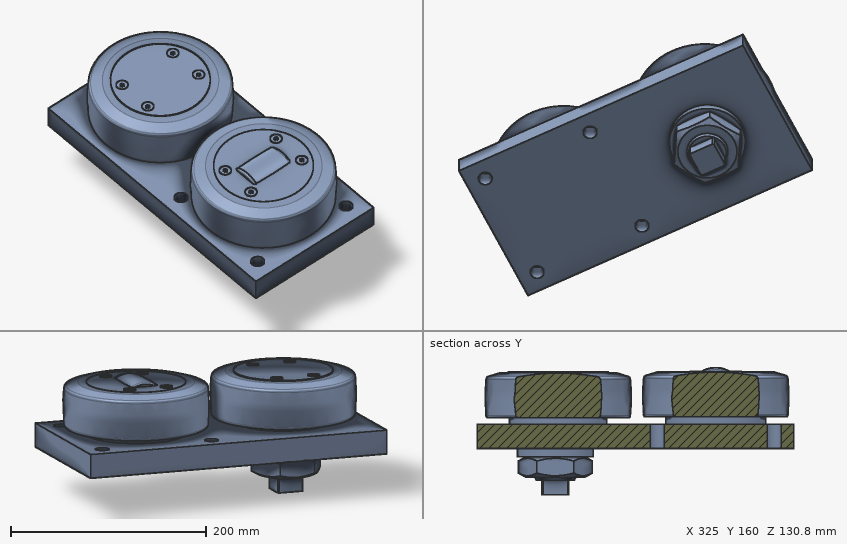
import cadquery as cq
import math

FULL_TURN = 360

PLATE_LENGTH = 325.0
PLATE_WIDTH = 160.0
PLATE_THICKNESS = 25.0

ROLLER_LEFT_X = -79.3
ROLLER_RIGHT_X = 82.2
ROLLER_HEIGHT = 46.0
ROLLER_CROWN_RADIUS = 75.0
ROLLER_EDGE_RADIUS = 74.0
ROLLER_TOP_CORNER_RADIUS = 71.8
ROLLER_BOTTOM_FACE_RADIUS = 71.8
ROLLER_TOP_FACE_RADIUS = 59.8
CORNER_HEIGHT = 3.0
CONE_HEIGHT = 3.5
LEFT_ROLLER_BOTTOM = 6.5
RIGHT_ROLLER_BOTTOM = 7.5
LEFT_NECK_DIAMETER = 100.0
RIGHT_NECK_DIAMETER = 103.0

COVER_DIAMETER = 102.5
LEFT_COVER_RISE = 1.0
RIGHT_COVER_RISE = 0.15
SCREW_HEAD_DIAMETER = 12.5
SCREW_SEAT_DEPTH = 2.5
LEFT_SCREW_HEAD_HEIGHT = 2.3
RIGHT_SCREW_HEAD_HEIGHT = 3.2
SCREW_SPACING_X = 40.3
SCREW_SPACING_Y = 69.0
SOCKET_ACROSS_FLATS = 4.0
SOCKET_DEPTH = 2.0
LEFT_SOCKET_TURN = 30
RIGHT_SOCKET_TURN = 0

PAD_WIDTH = 30.5
PAD_LENGTH = 50.5
PAD_TOP = 58.2
PAD_CROWN_DROP = 0.3
PAD_END_ROUND_LENGTH = 3.0
PAD_END_ROUND_HEIGHT = 1.5

HOLE_DIAMETER = 14.0
HOLE_SPACING = 120.0

SHAFT_X = -82.2
COLLAR_DIAMETER = 78.0
COLLAR_HEIGHT = 8.5
NUT_ACROSS_FLATS = 65.5
NUT_HEIGHT = 20.8
NUT_EDGE_DROP = 4.2
NUT_FACE_RADIUS = 30.2
SHAFT_CONE_HEIGHT = 3.2
SHAFT_CONE_TOP_DIAMETER = 42.0
SHAFT_CONE_END_DIAMETER = 38.7
SQUARE_SIZE = 27.5
SQUARE_CHAMFER = 1.3
SHAFT_END = -72.5


def disc(x, bottom, diameter, height):
    return cq.Workplane("XY", origin=(x, 0, bottom)).circle(diameter / 2).extrude(height)


def revolve_upright(profile):
    """Full turn of an XZ profile about the vertical line through its workplane origin."""
    return profile.revolve(FULL_TURN, (0, 0, 0), (0, 1, 0))


def hexagon_corner_size(across_flats):
    return across_flats / math.cos(math.pi / 6)


def hexagon(workplane, across_flats, depth, turn=0):
    """Hexagonal prism with a corner on the X axis, then turned by an angle in degrees."""
    across_corners = hexagon_corner_size(across_flats)
    workplane = workplane.transformed(rotate=(0, 0, turn))
    return workplane.polygon(6, across_corners).extrude(depth)


def make_plate():
    plate = cq.Workplane("XY").rect(PLATE_LENGTH, PLATE_WIDTH).extrude(-PLATE_THICKNESS)
    holes = (
        cq.Workplane("XY", origin=(ROLLER_RIGHT_X, 0, -PLATE_THICKNESS))
        .rect(HOLE_SPACING, HOLE_SPACING, forConstruction=True)
        .vertices()
        .circle(HOLE_DIAMETER / 2)
        .extrude(PLATE_THICKNESS)
    )
    return plate.cut(holes)


def make_roller(x, bottom):
    """Revolved tyre with a crowned running face, rounded corners and a conical shoulder."""
    top = bottom + ROLLER_HEIGHT
    cone_start = top - CONE_HEIGHT
    edge_top = cone_start - CORNER_HEIGHT
    edge_bottom = bottom + CORNER_HEIGHT
    profile = (
        cq.Workplane("XZ", origin=(x, 0, 0))
        .moveTo(0, bottom)
        .lineTo(ROLLER_BOTTOM_FACE_RADIUS, bottom)
        .tangentArcPoint((ROLLER_EDGE_RADIUS, edge_bottom), relative=False)
        .threePointArc(
            (ROLLER_CROWN_RADIUS, (edge_bottom + edge_top) / 2),
            (ROLLER_EDGE_RADIUS, edge_top),
        )
        .tangentArcPoint((ROLLER_TOP_CORNER_RADIUS, cone_start), relative=False)
        .lineTo(ROLLER_TOP_FACE_RADIUS, top)
        .lineTo(0, top)
        .close()
    )
    return revolve_upright(profile)


def add_screws(unit, x, cover_top, head_height, socket_turn):
    """Cut four round seats into the cover and fill each with a hexagon-socket screw head."""
    seat = cover_top - SCREW_SEAT_DEPTH
    pattern = [
        (x + side_x * SCREW_SPACING_X / 2, side_y * SCREW_SPACING_Y / 2)
        for side_x in (-1, 1)
        for side_y in (-1, 1)
    ]
    for screw_x, screw_y in pattern:
        seat_plane = cq.Workplane("XY", origin=(screw_x, screw_y, seat))
        pocket = seat_plane.circle(SCREW_HEAD_DIAMETER / 2).extrude(SCREW_SEAT_DEPTH)
        head = seat_plane.circle(SCREW_HEAD_DIAMETER / 2).extrude(head_height)
        socket_plane = seat_plane.workplane(offset=head_height)
        socket = hexagon(socket_plane, SOCKET_ACROSS_FLATS, -SOCKET_DEPTH, socket_turn)
        unit = unit.cut(pocket).union(head).cut(socket)
    return unit


def make_roller_unit(x, bottom, neck_diameter, cover_rise, head_height, socket_turn):
    """Roller with its neck below, its cover plate on top and the cover screws."""
    roller_top = bottom + ROLLER_HEIGHT
    unit = make_roller(x, bottom)
    unit = unit.union(disc(x, 0, neck_diameter, bottom))
    unit = unit.union(disc(x, roller_top, COVER_DIAMETER, cover_rise))
    return add_screws(unit, x, roller_top + cover_rise, head_height, socket_turn)


def make_pad():
    """Crowned roller lying along Y, sunk into the roller unit so that only its back stands out."""
    base = RIGHT_ROLLER_BOTTOM + ROLLER_HEIGHT
    rise = PAD_TOP - base
    half_width = PAD_WIDTH / 2
    half_length = PAD_LENGTH / 2
    radius = (half_width ** 2 + rise ** 2) / (2 * rise)
    crown_end_radius = radius - PAD_CROWN_DROP
    end_face_radius = crown_end_radius - PAD_END_ROUND_HEIGHT
    crown_end = half_length - PAD_END_ROUND_LENGTH
    return (
        cq.Workplane("YZ", origin=(ROLLER_RIGHT_X, 0, PAD_TOP - radius))
        .moveTo(-half_length, 0)
        .lineTo(-half_length, end_face_radius)
        .tangentArcPoint((-crown_end, crown_end_radius), relative=False)
        .threePointArc((0, radius), (crown_end, crown_end_radius))
        .tangentArcPoint((half_length, end_face_radius), relative=False)
        .lineTo(half_length, 0)
        .close()
        .revolve(FULL_TURN, (0, 0, 0), (1, 0, 0))
    )


def make_nut():
    """Hexagon nut whose corners are turned off conically at both faces."""
    top = -PLATE_THICKNESS - COLLAR_HEIGHT
    bottom = top - NUT_HEIGHT
    corner_radius = hexagon_corner_size(NUT_ACROSS_FLATS) / 2
    blank = hexagon(cq.Workplane("XY", origin=(SHAFT_X, 0, top)), NUT_ACROSS_FLATS, -NUT_HEIGHT)
    turning = (
        cq.Workplane("XZ", origin=(SHAFT_X, 0, 0))
        .moveTo(0, top)
        .lineTo(NUT_FACE_RADIUS, top)
        .lineTo(corner_radius, top - NUT_EDGE_DROP)
        .lineTo(corner_radius, bottom + NUT_EDGE_DROP)
        .lineTo(NUT_FACE_RADIUS, bottom)
        .lineTo(0, bottom)
        .close()
    )
    return blank.intersect(revolve_upright(turning))


def make_shaft_end():
    """Collar, nut, conical shaft tip and drive square, all on the eccentric shaft axis."""
    nut_bottom = -PLATE_THICKNESS - COLLAR_HEIGHT - NUT_HEIGHT
    cone_end = nut_bottom - SHAFT_CONE_HEIGHT
    collar = disc(SHAFT_X, -PLATE_THICKNESS, COLLAR_DIAMETER, -COLLAR_HEIGHT)
    cone = (
        cq.Workplane("XY", origin=(SHAFT_X, 0, nut_bottom))
        .circle(SHAFT_CONE_TOP_DIAMETER / 2)
        .workplane(offset=-SHAFT_CONE_HEIGHT)
        .circle(SHAFT_CONE_END_DIAMETER / 2)
        .loft()
    )
    square = (
        cq.Workplane("XY", origin=(SHAFT_X, 0, cone_end))
        .rect(SQUARE_SIZE, SQUARE_SIZE)
        .extrude(SHAFT_END - cone_end)
        .edges("|Z")
        .chamfer(SQUARE_CHAMFER)
    )
    return collar.union(make_nut()).union(cone).union(square)


left_roller_unit = make_roller_unit(
    x=ROLLER_LEFT_X,
    bottom=LEFT_ROLLER_BOTTOM,
    neck_diameter=LEFT_NECK_DIAMETER,
    cover_rise=LEFT_COVER_RISE,
    head_height=LEFT_SCREW_HEAD_HEIGHT,
    socket_turn=LEFT_SOCKET_TURN,
)
right_roller_unit = make_roller_unit(
    x=ROLLER_RIGHT_X,
    bottom=RIGHT_ROLLER_BOTTOM,
    neck_diameter=RIGHT_NECK_DIAMETER,
    cover_rise=RIGHT_COVER_RISE,
    head_height=RIGHT_SCREW_HEAD_HEIGHT,
    socket_turn=RIGHT_SOCKET_TURN,
)

result = (
    make_plate()
    .union(left_roller_unit)
    .union(right_roller_unit)
    .union(make_pad())
    .union(make_shaft_end())
)